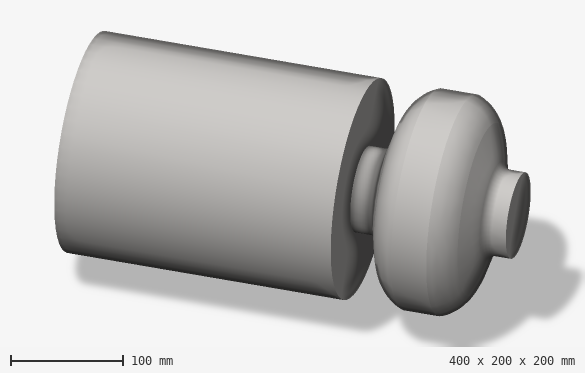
import cadquery as cq
import math

total_length = 400.0
body_radius = 100.0
body_length = 256.0
neck_radius = 78.0 / 2

wheel_center = (body_length + total_length) / 2
wheel_radius = body_radius
rim_half_width = 16.5
shoulder_mid_offset, shoulder_mid_radius = 28.5, 93.0
shoulder_end_offset, shoulder_end_radius = 39.0, 78.0
cone_angle = math.radians(71.5)
neck_fillet_radius = 8.5

fillet_top_radius = neck_radius + neck_fillet_radius * (1 - math.cos(cone_angle))
cone_end_offset = shoulder_end_offset + (shoulder_end_radius - fillet_top_radius) / math.tan(cone_angle)
fillet_end_offset = cone_end_offset + neck_fillet_radius * math.sin(cone_angle)
fillet_mid_offset = fillet_end_offset - neck_fillet_radius * math.sin(cone_angle / 2)
fillet_mid_radius = neck_radius + neck_fillet_radius * (1 - math.cos(cone_angle / 2))


def left(offset, radius):
    """Profile point on the body side of the wheel's middle plane."""
    return (wheel_center - offset, radius)


def right(offset, radius):
    """Profile point on the free-end side of the wheel's middle plane."""
    return (wheel_center + offset, radius)


rim_edge = (rim_half_width, wheel_radius)
shoulder_mid = (shoulder_mid_offset, shoulder_mid_radius)
shoulder_end = (shoulder_end_offset, shoulder_end_radius)
cone_end = (cone_end_offset, fillet_top_radius)
fillet_mid = (fillet_mid_offset, fillet_mid_radius)
fillet_end = (fillet_end_offset, neck_radius)

profile = (
    cq.Workplane("XY")
    .moveTo(0, 0)
    .lineTo(0, body_radius)
    .lineTo(body_length, body_radius)
    .lineTo(body_length, neck_radius)
    .lineTo(*left(*fillet_end))
    .threePointArc(left(*fillet_mid), left(*cone_end))
    .lineTo(*left(*shoulder_end))
    .threePointArc(left(*shoulder_mid), left(*rim_edge))
    .lineTo(*right(*rim_edge))
    .threePointArc(right(*shoulder_mid), right(*shoulder_end))
    .lineTo(*right(*cone_end))
    .threePointArc(right(*fillet_mid), right(*fillet_end))
    .lineTo(total_length, neck_radius)
    .lineTo(total_length, 0)
    .close()
)

result = profile.revolve(360, (0, 0, 0), (1, 0, 0))